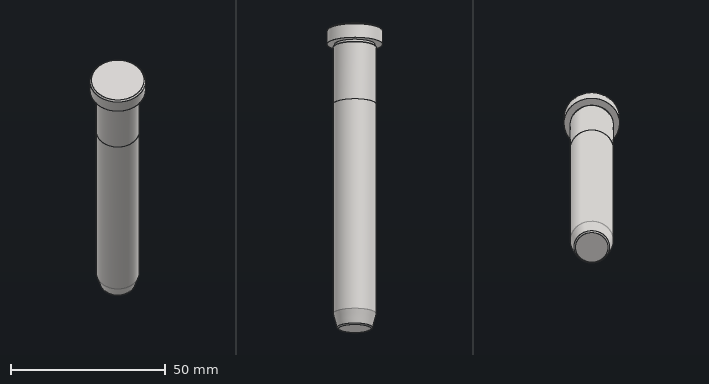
import cadquery as cq
import math

total_length = 100.0

head_diameter = 18.0
head_height = 5.0
head_chamfer = 0.5

shank_diameter = 14.0
groove_diameter = 13.0
groove_width = 1.0
groove_flat = 0.7

tip_length = 5.0
tip_angle = 15.0
tip_edge_chamfer = 0.4

collar_length = 25.0

head_bottom = total_length - head_height
groove_bottom = head_bottom - groove_width
split_height = total_length - collar_length
head_radius = head_diameter / 2
shank_radius = shank_diameter / 2
groove_radius = groove_diameter / 2
tip_radius = shank_radius - tip_length * math.tan(math.radians(tip_angle))


def revolve_profile(points):
    """Revolve a closed (radius, height) outline about the Z axis."""
    outline = cq.Workplane("XZ").polyline(points).close()
    return outline.revolve(360, (0, 0, 0), (0, 1, 0))


def make_headed_collar():
    """Chamfered head, relief groove with a sloped lower side, and upper shank."""
    collar = revolve_profile([
        (0, split_height),
        (shank_radius, split_height),
        (shank_radius, groove_bottom),
        (groove_radius, head_bottom - groove_flat),
        (groove_radius, head_bottom),
        (head_radius, head_bottom),
        (head_radius, total_length),
        (0, total_length),
    ])
    return collar.faces(">Z").edges().chamfer(head_chamfer)


def make_lower_shank():
    """Plain shank ending in a tapered tip with a broken end edge."""
    shank = revolve_profile([
        (0, 0),
        (tip_radius, 0),
        (shank_radius, tip_length),
        (shank_radius, split_height),
        (0, split_height),
    ])
    return shank.faces("<Z").edges().chamfer(tip_edge_chamfer)


headed_collar = make_headed_collar()
lower_shank = make_lower_shank()

result = cq.Compound.makeCompound([headed_collar.val(), lower_shank.val()])